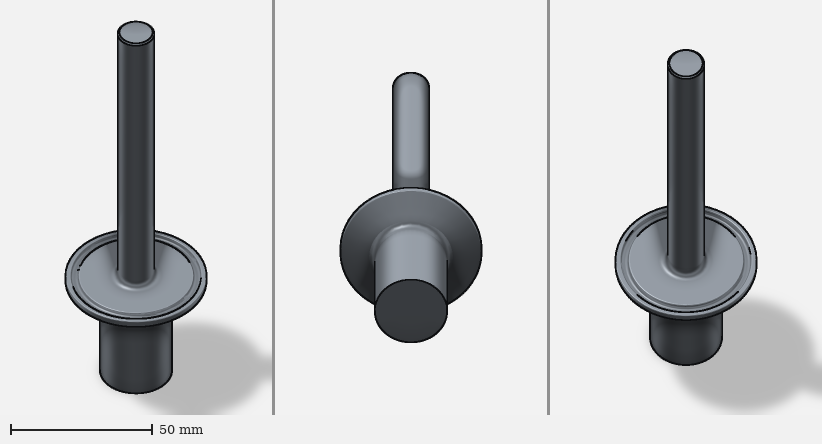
import cadquery as cq
import math

total_height = 158.8
flange_radius = 25.1
stem_radius = 6.5
base_radius = 12.9

flange_top = 44.5
rim_bottom = 41.9
cone_angle = 20.0
rim_fillet = 0.5

stem_fillet = 3.0
base_fillet = 3.0
tip_chamfer = 0.6

groove_center_radius = 21.7
groove_half_width = 1.5
groove_depth = 1.3
groove_edge_fillet = 0.6

selection_margin = 0.08


def make_body():
    """Revolve the base, conical flange and stem about Z."""
    cone_drop = (flange_radius - base_radius) * math.tan(math.radians(cone_angle))
    profile = (
        cq.Workplane("XZ")
        .lineTo(base_radius, 0)
        .lineTo(base_radius, rim_bottom - cone_drop)
        .lineTo(flange_radius, rim_bottom)
        .lineTo(flange_radius, flange_top)
        .lineTo(stem_radius, flange_top)
        .lineTo(stem_radius, total_height)
        .lineTo(0, total_height)
        .close()
    )
    body = profile.revolve(360, (0, 0, 0), (0, 1, 0))
    body = round_circle(body, base_radius, rim_bottom - cone_drop, base_fillet)
    body = round_circle(body, flange_radius, rim_bottom, rim_fillet)
    body = round_circle(body, flange_radius, flange_top, rim_fillet)
    body = round_circle(body, stem_radius, flange_top, stem_fillet)
    return body.faces(">Z").edges().chamfer(tip_chamfer)


def circle_edges(radius, height):
    """Select the circular edges of the given radius and height."""
    def within(reach):
        low = (-reach, -reach, height - selection_margin)
        high = (reach, reach, height + selection_margin)
        return cq.selectors.BoxSelector(low, high, boundingbox=True)

    return within(radius + selection_margin) - within(radius - selection_margin)


def round_circle(body, radius, height, fillet_radius):
    """Fillet one circular edge of the body."""
    return body.edges(circle_edges(radius, height)).fillet(fillet_radius)


def cut_groove(body):
    """Cut the gasket groove and round both of its upper edges."""
    inner_radius = groove_center_radius - groove_half_width
    outer_radius = groove_center_radius + groove_half_width
    cutter = (
        cq.Workplane("XZ")
        .moveTo(inner_radius, flange_top)
        .threePointArc((groove_center_radius, flange_top - groove_depth), (outer_radius, flange_top))
        .close()
        .revolve(360, (0, 0, 0), (0, 1, 0))
    )
    body = body.cut(cutter)
    for edge_radius in (inner_radius, outer_radius):
        body = round_circle(body, edge_radius, flange_top, groove_edge_fillet)
    return body


result = cut_groove(make_body())